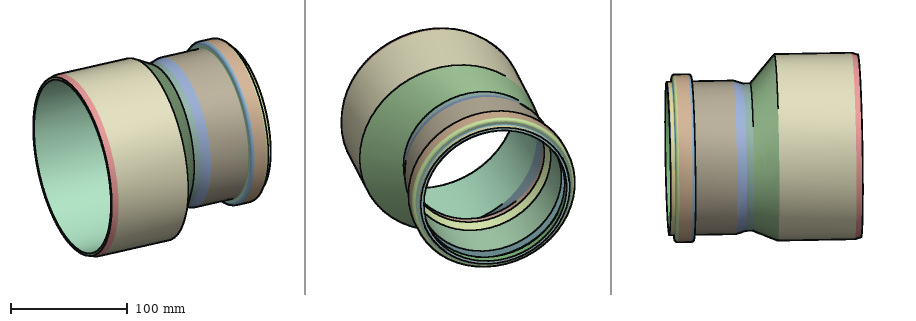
import cadquery as cq

overall_width = 168.6
overall_length = 165.0

spigot_diameter = 160.0
spigot_bore = 152.1
spigot_length = 71.7
lead_in_length = 5.5
lead_in_depth = 1.7

neck_diameter = 126.7
neck_bore = 118.9
neck_start = 93.3
neck_end = 99.5

socket_diameter = 131.9
socket_bore = 126.0
socket_start = 108.0
mouth_diameter = 131.5
mouth_taper_length = 1.0

ring_diameter = 144.0
ring_start = 143.7
ring_end = 160.5
ring_edge_radius = 2.7
ring_root_radius = 0.8
groove_diameter = 138.5
ring_wall = (ring_diameter - groove_diameter) / 2

small_axis_x = spigot_diameter / 2 + ring_diameter / 2 - overall_width


def revolve_about_y(profile, axis_x):
    """Revolve a (radius, y) profile about the Y-parallel axis at axis_x."""
    solid = profile.close().revolve(360, (0, 0, 0), (0, 1, 0))
    return solid.translate((axis_x, 0, 0))


def make_transition(large_diameter, small_diameter):
    """Skewed cone between the spigot circle and the offset neck circle."""
    return (
        cq.Workplane("XZ", origin=(0, spigot_length, 0))
        .circle(large_diameter / 2)
        .workplane(offset=spigot_length - neck_start)
        .center(small_axis_x, 0)
        .circle(small_diameter / 2)
        .loft(ruled=True)
    )


def make_outer_spigot():
    radius = spigot_diameter / 2
    profile = (
        cq.Workplane("XY")
        .lineTo(radius - lead_in_depth, 0)
        .lineTo(radius, lead_in_length)
        .lineTo(radius, spigot_length)
        .lineTo(0, spigot_length)
    )
    return revolve_about_y(profile, 0)


def make_outer_socket():
    neck_radius = neck_diameter / 2
    socket_radius = socket_diameter / 2
    ring_radius = ring_diameter / 2
    profile = (
        cq.Workplane("XY")
        .moveTo(0, neck_start)
        .lineTo(neck_radius, neck_start)
        .lineTo(neck_radius, neck_end)
        .lineTo(socket_radius, socket_start)
        .lineTo(socket_radius, ring_start - ring_root_radius)
        .radiusArc((socket_radius + ring_root_radius, ring_start), ring_root_radius)
        .lineTo(ring_radius - ring_edge_radius, ring_start)
        .radiusArc((ring_radius, ring_start + ring_edge_radius), -ring_edge_radius)
        .lineTo(ring_radius, ring_end - ring_edge_radius)
        .radiusArc((ring_radius - ring_edge_radius, ring_end), -ring_edge_radius)
        .lineTo(socket_radius + ring_root_radius, ring_end)
        .radiusArc((socket_radius, ring_end + ring_root_radius), ring_root_radius)
        .lineTo(socket_radius, overall_length - mouth_taper_length)
        .lineTo(mouth_diameter / 2, overall_length)
        .lineTo(0, overall_length)
    )
    return revolve_about_y(profile, small_axis_x)


def make_spigot_bore():
    radius = spigot_bore / 2
    profile = cq.Workplane("XY").lineTo(radius, 0).lineTo(radius, spigot_length).lineTo(0, spigot_length)
    return revolve_about_y(profile, 0)


def make_socket_bore():
    neck_radius = neck_bore / 2
    socket_radius = socket_bore / 2
    groove_radius = groove_diameter / 2
    profile = (
        cq.Workplane("XY")
        .moveTo(0, neck_start)
        .lineTo(neck_radius, neck_start)
        .lineTo(neck_radius, neck_end)
        .lineTo(socket_radius, socket_start)
        .lineTo(socket_radius, ring_start + ring_wall)
        .lineTo(groove_radius, ring_start + ring_wall)
        .lineTo(groove_radius, ring_end - ring_wall)
        .lineTo(socket_radius, ring_end - ring_wall)
        .lineTo(socket_radius, overall_length)
        .lineTo(0, overall_length)
    )
    return revolve_about_y(profile, small_axis_x)


outer = (
    make_outer_spigot()
    .union(make_transition(spigot_diameter, neck_diameter))
    .union(make_outer_socket())
)
passage = (
    make_spigot_bore()
    .union(make_transition(spigot_bore, neck_bore))
    .union(make_socket_bore())
)
result = outer.cut(passage)